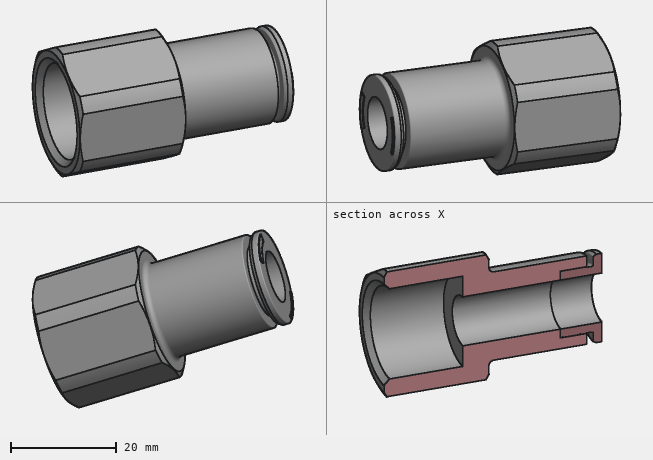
import cadquery as cq
import math


overall_length = 44.95

hex_across_flats = 24.0
hex_corner_diameter = 26.0
hex_length = 21.6
hex_face_diameter = 23.82
hex_chamfer_angle = 30.0

barrel_diameter = 18.45
barrel_end = 41.7
barrel_root_radius = 1.0
edge_rounding = 0.22

port_diameter = 18.6
port_mouth_diameter = 20.95
port_chamfer_length = 1.15
port_depth = 16.2
through_bore_diameter = 10.05

mark_height = 0.2
mark_outer_radius = 8.7
left_mark_inner_radius = 8.05
right_mark_inner_radius = 7.2
mark_half_angle = 25.5

sleeve_end = overall_length - mark_height
neck_diameter = 13.7
neck_insertion = 5.4
neck_start = barrel_end - neck_insertion
collar_diameter = barrel_diameter
collar_underside = 42.93
collar_chamfer_length = 0.67
collar_chamfer_width = 0.4


def cylinder(diameter, start, end):
    """Solid cylinder around the Y axis, from Y = start to Y = end."""
    return cq.Workplane("XZ", origin=(0, start, 0)).circle(diameter / 2).extrude(start - end)


def revolve_profile(points):
    """Solid turned around the Y axis from a closed outline of (radius, Y) points."""
    return cq.Workplane("ZY").polyline(points).close().revolve(360, (0, 0, 0), (0, 1, 0))


def make_hexagon():
    """Hexagon with flats facing +X and -X, rounded corners and both ends chamfered by a cone."""
    prism = (
        cq.Workplane("XZ")
        .polygon(6, hex_across_flats, circumscribed=True)
        .extrude(-hex_length)
    )
    face_radius = hex_face_diameter / 2
    corner_radius = hex_corner_diameter / 2
    chamfer_length = (corner_radius - face_radius) * math.tan(math.radians(hex_chamfer_angle))
    envelope = revolve_profile([
        (0, 0),
        (face_radius, 0),
        (corner_radius, chamfer_length),
        (corner_radius, hex_length - chamfer_length),
        (face_radius, hex_length),
        (0, hex_length),
    ])
    return prism.intersect(envelope)


def make_barrel():
    """Round barrel with a rounded end edge and a concave fillet at its root on the hexagon."""
    radius = barrel_diameter / 2
    root = barrel_root_radius
    bend = root * (1 - math.sqrt(0.5))
    barrel = (
        cq.Workplane("ZY")
        .moveTo(0, hex_length)
        .lineTo(radius + root, hex_length)
        .threePointArc((radius + bend, hex_length + bend), (radius, hex_length + root))
        .lineTo(radius, barrel_end)
        .lineTo(0, barrel_end)
        .close()
        .revolve(360, (0, 0, 0), (0, 1, 0))
    )
    return barrel.faces(">Y").edges().fillet(edge_rounding)


def make_port():
    """Space of the female port: a plain bore with a conical mouth."""
    return revolve_profile([
        (0, 0),
        (port_mouth_diameter / 2, 0),
        (port_diameter / 2, port_chamfer_length),
        (port_diameter / 2, port_depth),
        (0, port_depth),
    ])


def make_housing():
    """Hexagon and barrel with the port, the through bore and the recess for the sleeve neck."""
    return (
        make_hexagon()
        .union(make_barrel())
        .cut(make_port())
        .cut(cylinder(through_bore_diameter, 0, barrel_end))
        .cut(cylinder(neck_diameter, neck_start, barrel_end))
    )


def make_mark(direction, inner_radius):
    """Raised arc-shaped mark centred on +X (direction 1) or -X (direction -1)."""
    def point(radius, angle):
        turn = math.radians(angle)
        return (direction * radius * math.cos(turn), radius * math.sin(turn))

    return (
        cq.Workplane("XZ", origin=(0, sleeve_end, 0))
        .moveTo(*point(inner_radius, -mark_half_angle))
        .lineTo(*point(mark_outer_radius, -mark_half_angle))
        .threePointArc(point(mark_outer_radius, 0), point(mark_outer_radius, mark_half_angle))
        .lineTo(*point(inner_radius, mark_half_angle))
        .threePointArc(point(inner_radius, 0), point(inner_radius, -mark_half_angle))
        .close()
        .extrude(-mark_height)
    )


def make_sleeve():
    """Release sleeve: neck inside the barrel, and a collar with a chamfered underside."""
    neck_radius = neck_diameter / 2
    collar_radius = collar_diameter / 2
    body = revolve_profile([
        (0, neck_start),
        (neck_radius, neck_start),
        (neck_radius, collar_underside),
        (collar_radius - collar_chamfer_width, collar_underside),
        (collar_radius, collar_underside + collar_chamfer_length),
        (collar_radius, sleeve_end),
        (0, sleeve_end),
    ])
    underside_rings = cq.selectors.BoxSelector(
        (-collar_radius, collar_underside - edge_rounding, -collar_radius),
        (collar_radius, collar_underside + edge_rounding, collar_radius),
    )
    return (
        body.faces(">Y").edges().fillet(edge_rounding)
        .edges(underside_rings).fillet(edge_rounding)
        .cut(cylinder(through_bore_diameter, neck_start, sleeve_end))
        .union(make_mark(-1, left_mark_inner_radius))
        .union(make_mark(1, right_mark_inner_radius))
    )


housing = make_housing()
sleeve = make_sleeve()

result = cq.Compound.makeCompound([housing.val(), sleeve.val()])